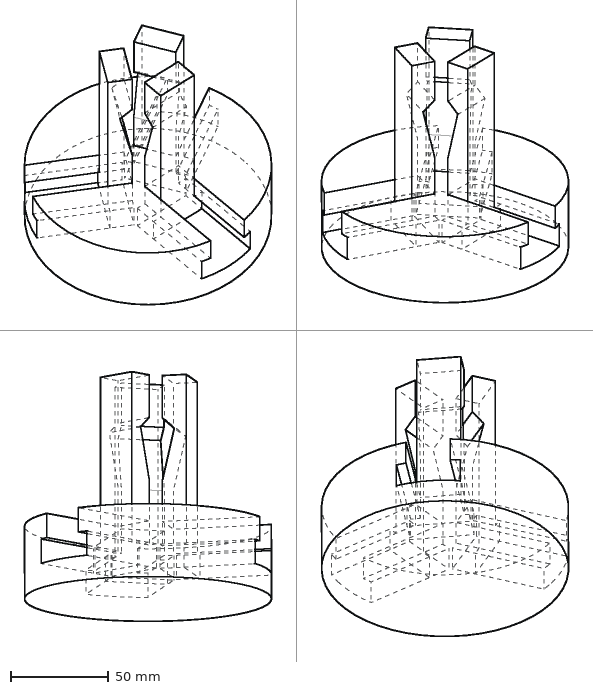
import cadquery as cq

body_diameter = 127.0
body_height = 38.1
layer_height = body_height / 3

neck_width = 22.9
foot_width = 33.0
jaw_inner_radius = 10.5
slot_length = body_diameter / 2

jaw_count = 3
first_jaw_angle = 90.0
jaw_thickness = 12.7
jaw_top = 114.3

notch_depth = 6.4
notch_bottom = 59.0
notch_apex = 86.4
notch_top = 92.1

jaw_angles = [first_jaw_angle + i * 360 / jaw_count for i in range(jaw_count)]


def turned(shape, angle):
    """Turn a shape about the chuck axis."""
    return shape.rotate((0, 0, 0), (0, 0, 1), angle)


def radial_block(length, width, bottom, top):
    """Block along +X that starts at the inner face of the jaws."""
    block = cq.Workplane("XY").box(length, width, top - bottom, centered=(False, True, False))
    return block.translate((jaw_inner_radius, 0, bottom))


def tee(length, top):
    """Wide foot on the slot floor with a narrow neck rising from it to the given height."""
    foot = radial_block(length, foot_width, layer_height, 2 * layer_height)
    neck = radial_block(length, neck_width, 2 * layer_height, top)
    return foot.union(neck)


def make_chuck_body():
    """Disc with one T-slot per jaw."""
    body = cq.Workplane("XY").circle(body_diameter / 2).extrude(body_height)
    slot = tee(slot_length, body_height)
    for angle in jaw_angles:
        body = body.cut(turned(slot, angle))
    return body


def make_jaw():
    """Jaw along +X, with its foot filling the inner end of the T-slot."""
    notch = (
        cq.Workplane("XZ")
        .moveTo(jaw_inner_radius, notch_bottom)
        .lineTo(jaw_inner_radius + notch_depth, notch_apex)
        .lineTo(jaw_inner_radius, notch_top)
        .close()
        .extrude(neck_width / 2, both=True)
    )
    return tee(jaw_thickness, jaw_top).cut(notch)


chuck_body = make_chuck_body()
jaws = [turned(make_jaw(), angle) for angle in jaw_angles]

result = cq.Compound.makeCompound([chuck_body.val(), *[jaw.val() for jaw in jaws]])